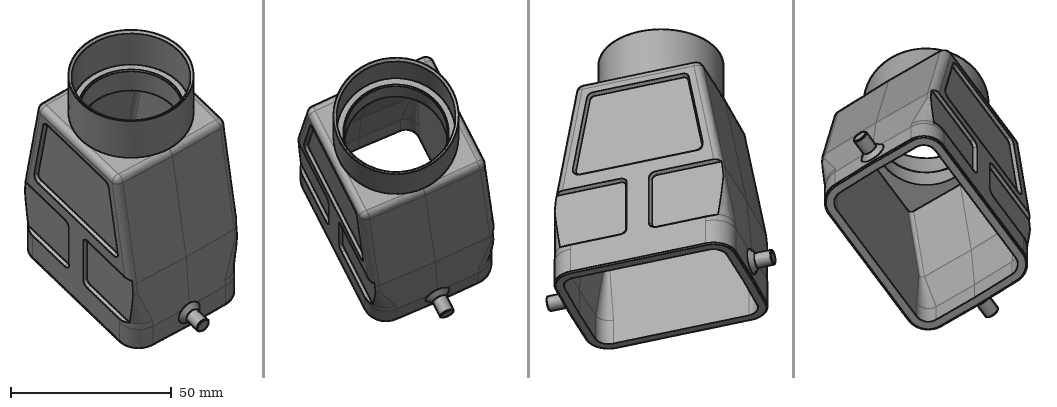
import cadquery as cq
import math

half_depth = 21.5
base_half_width = 30.0
base_height = 9.1
ridge_z = 30.0
body_height = 71.9
lower_draft = 5.0
upper_draft = 10.0
side_crown = 1.0
base_corner_radius = 7.4
upper_corner_radius = 2.5
top_edge_radius = 2.4
corner_blend_start = 11.5
corner_blend_end = 25.9
base_chamfer = 0.4

wall = 3.0
ceiling_z = 64.6
cavity_upper_corner_radius = 1.2
bore_diameter = 32.0
bore_chamfer = 0.4

neck_diameter = 39.0
neck_bore_diameter = 37.0
neck_top = 88.5
neck_floor = 73.7
neck_lead_in = 0.6
neck_lip = 0.04

pin_diameter = 4.8
pin_z = 6.2
pin_tip_x = 37.1
pin_tip_chamfer = 0.3
pin_collar_x = 31.6
pin_collar_radius = 2.5

pocket_depth = 1.15
pocket_wall_taper = 31.0
pocket_corner_radius = 2.2
window_bottom = 36.9
window_top = 67.35
window_side_margin = 5.05
grip_bottom = 10.7
grip_top = 32.0
grip_inner_x = 3.6


def half_width(z):
    """X half width of the hood on the middle plane at height z."""
    lower_rise = min(max(z - base_height, 0), ridge_z - base_height)
    upper_rise = max(z - ridge_z, 0)
    return (
        base_half_width
        - lower_rise * math.tan(math.radians(lower_draft))
        - upper_rise * math.tan(math.radians(upper_draft))
    )


def section(z, radius, inset=0.0):
    """Closed rounded outline at height z; the corner arcs run tangent into the crowned sides."""
    crown = math.radians(side_crown)
    side_x = half_width(z) - inset
    side_y = half_depth - inset
    centre_y = side_y - radius
    centre_x = side_x - (radius + centre_y * math.sin(crown)) / math.cos(crown)

    def on_corner(angle, sign_x, sign_y):
        return (
            sign_x * (centre_x + radius * math.cos(angle)),
            sign_y * (centre_y + radius * math.sin(angle)),
        )

    end = math.pi / 2
    middle = (crown + end) / 2
    outline = cq.Workplane("XY", origin=(0, 0, z)).moveTo(side_x, 0)
    outline = outline.lineTo(*on_corner(crown, 1, 1))
    outline = outline.threePointArc(on_corner(middle, 1, 1), on_corner(end, 1, 1))
    outline = outline.lineTo(*on_corner(end, -1, 1))
    outline = outline.threePointArc(on_corner(middle, -1, 1), on_corner(crown, -1, 1))
    outline = outline.lineTo(-side_x, 0)
    outline = outline.lineTo(*on_corner(crown, -1, -1))
    outline = outline.threePointArc(on_corner(middle, -1, -1), on_corner(end, -1, -1))
    outline = outline.lineTo(*on_corner(end, 1, -1))
    outline = outline.threePointArc(on_corner(middle, 1, -1), on_corner(crown, 1, -1))
    return outline.close().val()


def stack(sections):
    """Solid with straight walls between successive outlines."""
    return cq.Workplane(obj=cq.Solid.makeLoft(sections, True))


def make_hood():
    hood = stack([
        section(0, base_corner_radius),
        section(base_height, base_corner_radius),
        section(corner_blend_start, base_corner_radius),
        section(corner_blend_end, upper_corner_radius),
        section(ridge_z, upper_corner_radius),
        section(body_height, upper_corner_radius),
    ]).clean()
    hood = hood.faces(">Z").edges().fillet(top_edge_radius)
    return hood.faces("<Z").edges().chamfer(base_chamfer)


def make_cavity():
    base_radius = base_corner_radius - wall
    upper_radius = cavity_upper_corner_radius
    return stack([
        section(0, base_radius, wall),
        section(base_height, base_radius, wall),
        section(ridge_z, upper_radius, wall),
        section(ceiling_z, upper_radius, wall),
    ])


def make_neck():
    outer = neck_diameter / 2
    return cq.Workplane("XY", origin=(0, 0, ceiling_z)).circle(outer).extrude(neck_top - ceiling_z)


def make_neck_bore():
    mouth = neck_diameter / 2 - neck_lip
    wide = neck_bore_diameter / 2
    narrow = bore_diameter / 2
    return (
        cq.Workplane("XZ")
        .moveTo(0, ceiling_z)
        .lineTo(narrow, ceiling_z)
        .lineTo(narrow, neck_floor - bore_chamfer)
        .lineTo(narrow + bore_chamfer, neck_floor)
        .lineTo(wide, neck_floor)
        .lineTo(wide, neck_top - neck_lead_in)
        .lineTo(mouth, neck_top)
        .lineTo(0, neck_top)
        .close()
        .revolve(360, (0, 0, 0), (0, 1, 0))
    )


def make_pin():
    radius = pin_diameter / 2
    root_x = base_half_width - wall / 2
    root_radius = pin_collar_radius + pin_collar_x - root_x
    return (
        cq.Workplane("XY", origin=(0, 0, pin_z))
        .moveTo(root_x, 0)
        .lineTo(root_x, root_radius)
        .lineTo(pin_collar_x, pin_collar_radius)
        .lineTo(pin_collar_x, radius)
        .lineTo(pin_tip_x - pin_tip_chamfer, radius)
        .lineTo(pin_tip_x, radius - pin_tip_chamfer)
        .lineTo(pin_tip_x, 0)
        .close()
        .revolve(360, (0, 0, 0), (1, 0, 0))
    )


def make_pocket(corners):
    """Tapered front pocket whose mouth has the given (x, z) corners."""
    mouth = cq.Sketch().polygon(corners + corners[:1]).vertices().fillet(pocket_corner_radius)
    return (
        cq.Workplane("XZ", origin=(0, -half_depth, 0))
        .placeSketch(mouth)
        .extrude(-pocket_depth, taper=pocket_wall_taper)
    )


def make_window():
    bottom_x = half_width(window_bottom) - window_side_margin
    top_x = half_width(window_top) - window_side_margin
    return make_pocket([
        (-bottom_x, window_bottom),
        (bottom_x, window_bottom),
        (top_x, window_top),
        (-top_x, window_top),
    ])


def make_grip():
    outer_x = base_half_width + 2 * pocket_corner_radius
    return make_pocket([
        (grip_inner_x, grip_bottom),
        (outer_x, grip_bottom),
        (outer_x, grip_top),
        (grip_inner_x, grip_top),
    ])


hood = make_hood().union(make_neck())
for pocket in (make_window(), make_grip(), make_grip().mirror("YZ")):
    hood = hood.cut(pocket).cut(pocket.mirror("XZ"))
hood = hood.cut(make_cavity()).cut(make_neck_bore())

pin = make_pin()
result = hood.union(pin).union(pin.mirror("YZ"))